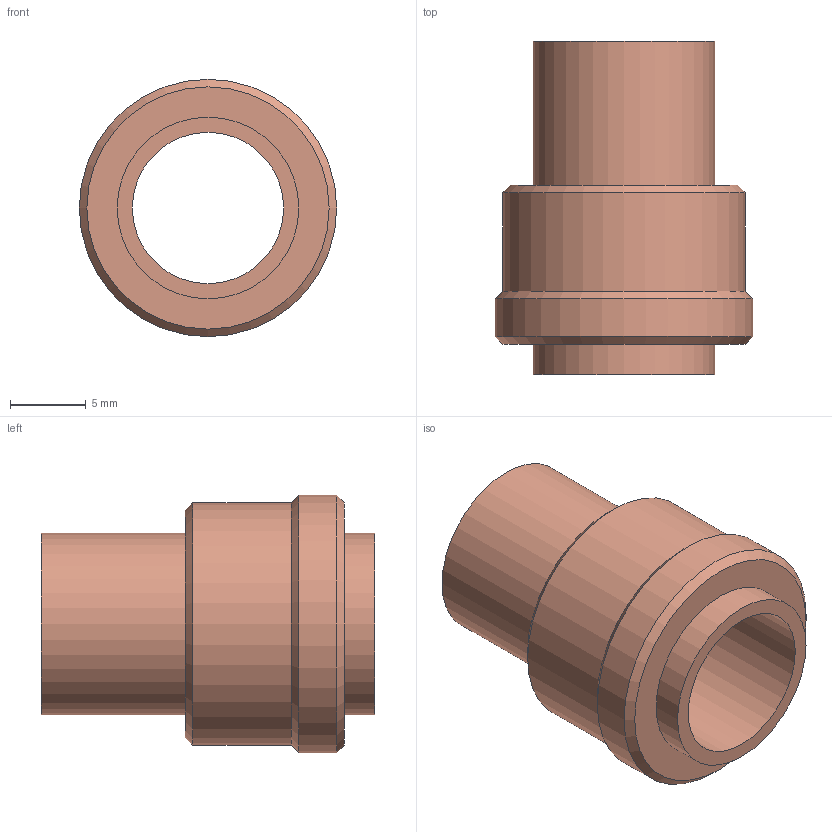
import cadquery as cq

BORE_DIAMETER = 10.0
TUBE_DIAMETER = 12.0
BODY_DIAMETER = 16.0
FLANGE_DIAMETER = 17.0

TOTAL_LENGTH = 22.0
FRONT_SPIGOT_LENGTH = 2.0
FLANGE_LENGTH = 3.5
REAR_TUBE_LENGTH = 9.5
CHAMFER = 0.5

FLANGE_FRONT = FRONT_SPIGOT_LENGTH
FLANGE_REAR = FLANGE_FRONT + FLANGE_LENGTH
BODY_REAR = TOTAL_LENGTH - REAR_TUBE_LENGTH


def cylinder(diameter, start, end):
    """Solid cylinder about the Y axis, from Y = start to Y = end."""
    axis_direction = cq.Vector(0, 1, 0)
    base_center = cq.Vector(0, start, 0)
    solid = cq.Solid.makeCylinder(diameter / 2, end - start, base_center, axis_direction)
    return cq.Workplane(obj=solid)


def make_tube():
    """Full-length tube blank: front spigot and rear tube in one."""
    return cylinder(TUBE_DIAMETER, 0, TOTAL_LENGTH)


def make_body():
    """Thick middle section, chamfered at its rear edge."""
    return cylinder(BODY_DIAMETER, FLANGE_FRONT, BODY_REAR).faces(">Y").edges().chamfer(CHAMFER)


def make_flange():
    """Widest collar, chamfered on both edges."""
    return cylinder(FLANGE_DIAMETER, FLANGE_FRONT, FLANGE_REAR).faces("<Y or >Y").edges().chamfer(CHAMFER)


def make_bore():
    """Through bore."""
    return cylinder(BORE_DIAMETER, 0, TOTAL_LENGTH)


result = make_tube().union(make_body()).union(make_flange()).cut(make_bore())